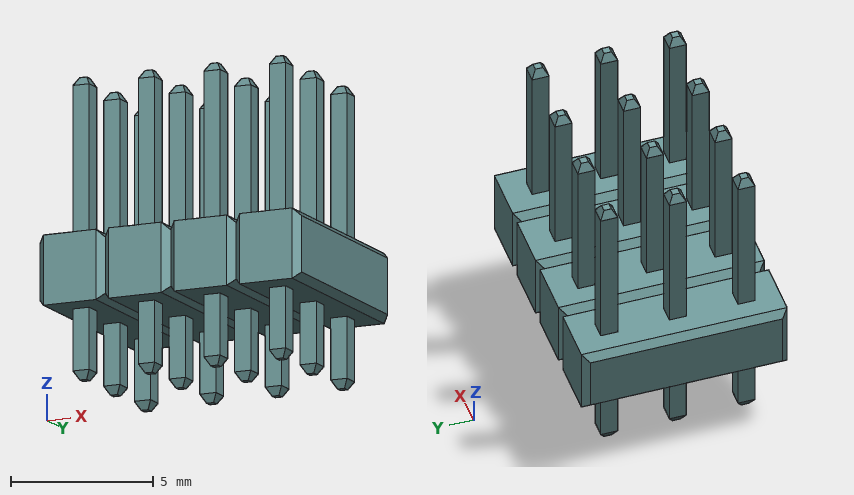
import cadquery as cq

columns = 4
rows = 3
body_length = 10.16
body_width = 7.62
column_pitch = body_length / columns
row_pitch = body_width / rows
body_height = column_pitch
block_chamfer = 0.25

pin_length = 10.92
pin_tail = 2.54
pin_side = 0.63
tip_height = 0.31
tip_side = 0.27


def housing_block():
    """One block, resting on Z = 0, chamfered around both of its X end faces."""
    block = cq.Workplane("XY").box(column_pitch, body_width, body_height, centered=(True, True, False))
    return block.faces("<X or >X").edges().chamfer(block_chamfer)


def tapered_tip(workplane):
    """Truncated pyramid that narrows along the workplane normal."""
    return (
        workplane.rect(pin_side, pin_side)
        .workplane(offset=tip_height)
        .rect(tip_side, tip_side)
        .loft(ruled=True)
    )


def square_pin():
    """Square pin with both ends tapered, placed at its height in the housing."""
    shank_bottom = tip_height - pin_tail
    shank_top = pin_length - pin_tail - tip_height
    bottom_plane = cq.Workplane("XY", origin=(0, 0, shank_bottom))
    top_plane = cq.Workplane("XY", origin=(0, 0, shank_top))
    downward_plane = cq.Workplane(cq.Plane(origin=(0, 0, shank_bottom), normal=(0, 0, -1)))

    shank = bottom_plane.rect(pin_side, pin_side).extrude(shank_top - shank_bottom)
    return shank.union(tapered_tip(top_plane)).union(tapered_tip(downward_plane))


block = housing_block().val()
pin = square_pin().val()

block_places = cq.Workplane("XY").rarray(column_pitch, body_width, columns, 1)
pin_places = cq.Workplane("XY").rarray(column_pitch, row_pitch, columns, rows)

housing = block_places.eachpoint(lambda place: block.moved(place), combine=False).combine()
pins = pin_places.eachpoint(lambda place: pin.moved(place), combine=False)

result = housing.union(pins)